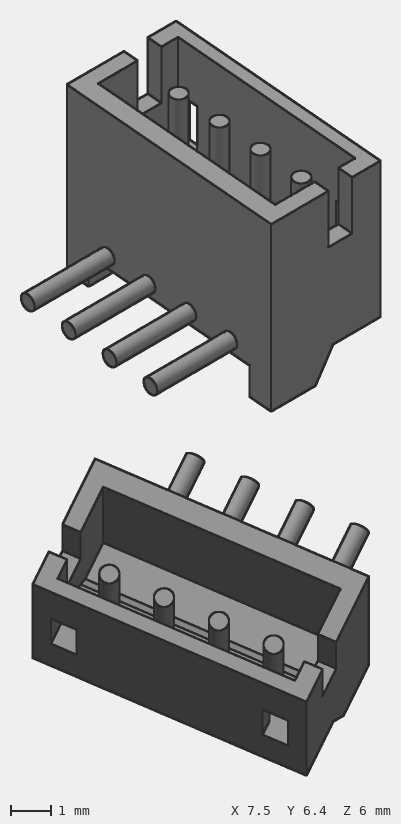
import cadquery as cq

length = 7.5
depth = 3.7
height = 6.0
end_wall = 0.5
back_wall = 0.4
front_wall = 0.6

foot_height = 1.0
foot_width = 0.8
foot_slope_top = 1.6
foot_slope_bottom = 2.2

upper_floor = 2.5
floor_slope_start = 1.75
floor_slope_run = 0.285
lower_floor = upper_floor - floor_slope_run

slot_from_back = 0.96
slot_width = 0.8
slot_depth = 1.8
window_inset = 1.2
window_top = height - slot_depth

pin_count = 4
pin_pitch = 1.5
pin_diameter = 0.5
pin_from_back = 1.3
pin_below_rim = 0.705
tail_height = 1.4
tail_length = 2.7

pin_y = depth - pin_from_back
cavity_length = length - 2 * end_wall


def extrude_profile(points, width):
    """Extrude a YZ outline along X, centred on X = 0."""
    return cq.Workplane("YZ").polyline(points).close().extrude(width / 2, both=True)


def box_between(x_min, x_max, y_min, y_max, z_min, z_max):
    box = cq.Workplane("XY").box(x_max - x_min, y_max - y_min, z_max - z_min, centered=False)
    return box.translate((x_min, y_min, z_min))


def make_body():
    outline = [
        (0, 0),
        (depth - foot_slope_bottom, 0),
        (depth - foot_slope_top, foot_height),
        (depth, foot_height),
        (depth, height),
        (0, height),
    ]
    gap_half = length / 2 - foot_width
    gap = box_between(-gap_half, gap_half, 0, depth, 0, foot_height)
    return extrude_profile(outline, length).cut(gap)


def make_cavity():
    slope_top_y = depth - floor_slope_start
    outline = [
        (front_wall, lower_floor),
        (slope_top_y - floor_slope_run, lower_floor),
        (slope_top_y, upper_floor),
        (depth - back_wall, upper_floor),
        (depth - back_wall, height),
        (front_wall, height),
    ]
    return extrude_profile(outline, cavity_length)


def make_end_slots():
    slot_back = depth - slot_from_back
    return box_between(
        -length / 2, length / 2, slot_back - slot_width, slot_back, height - slot_depth, height
    )


def make_window():
    """Window in the back wall at the +X end, flush with the end wall and the floor."""
    return box_between(
        length / 2 - window_inset, cavity_length / 2, depth - back_wall, depth, upper_floor, window_top
    )


def make_pin(x):
    """Right-angle pin: an upright contact and a tail leaving the front face."""
    radius = pin_diameter / 2
    contact_height = height - pin_below_rim - tail_height
    contact = cq.Workplane("XY").circle(radius).extrude(contact_height)
    tail = cq.Workplane("XZ").circle(radius).extrude(pin_y + tail_length)
    elbow = cq.Workplane("XY").sphere(radius)
    return contact.union(tail).union(elbow).translate((x, pin_y, tail_height))


window = make_window()
result = make_body().cut(make_cavity()).cut(make_end_slots())
result = result.cut(window).cut(window.mirror("YZ"))

for index in range(pin_count):
    pin_x = (index - (pin_count - 1) / 2) * pin_pitch
    result = result.union(make_pin(pin_x))